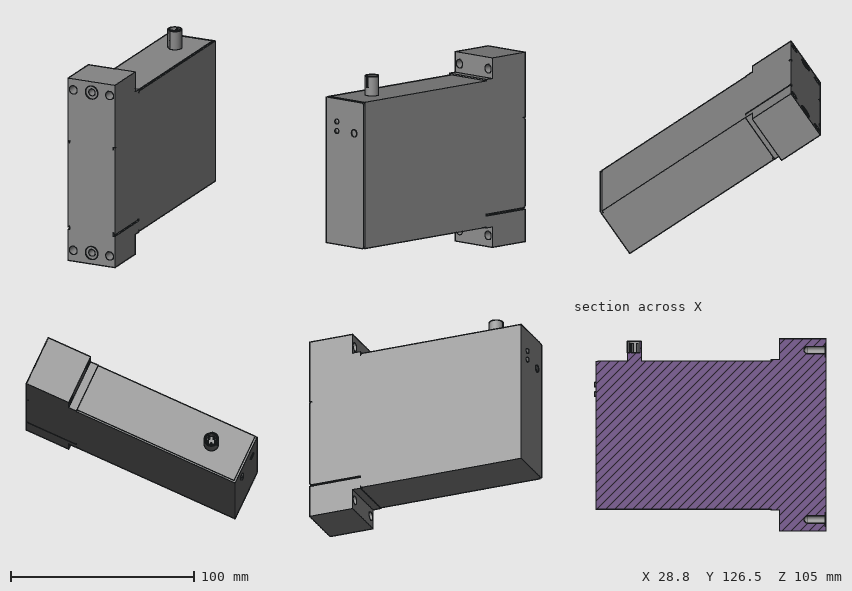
import cadquery as cq
import math


width = 28.5
flange_height = 105.0
flange_depth = 25.5
neck_height = 82.2
neck_back = 30.1

body_top = 40.3
body_bottom = -40.7

sheet = 1.0
plate_thickness = 1.1
cover_top = 40.0
plate_lip = 0.3
plate_corner_radius = 1.4
cover_corner_radius = 0.9

hole_z = 46.2
through_hole_x = 11.0
through_hole_diameter = 4.8
screw_hole_diameter = 3.9
screw_hole_depth = 10.1
counterbore_diameter = 7.5
counterbore_depth = 0.6

tab_top = 16.5
tab_bottom = -33.6
tab_gap = 0.9
tab_corner_radius = 1.3

connector_x = -0.3
connector_y = 104.6
connector_top = 51.1
connector_diameter = 8.0
connector_chamfer = 0.4
flat_distance = 3.5
flat_direction = 225.0
socket_diameter = 6.1
socket_depth = 6.3
key_width = 0.9
pin_count = 5
pin_circle_radius = 2.1
pin_diameter = 0.9
pin_height = 5.0
first_pin_angle = 94.0

overall_length = 126.5
lamp_height = 0.9
lamp_diameter = 2.8
lamp_round = 0.8
lamp_x = 6.0
lamp_levels = (27.3, 22.1)
button_diameter = 4.0
button_height = 0.4
button_x = -7.3
button_z = 22.5

half_width = width / 2
plate_back = overall_length - lamp_height
body_back = plate_back - plate_thickness


def box(x_range, y_range, z_range):
    """Box between the given pairs of limits."""
    limits = (x_range, y_range, z_range)
    lengths = [high - low for low, high in limits]
    corner = tuple(low for low, high in limits)
    return cq.Workplane("XY").box(*lengths, centered=False).translate(corner)


def cylinder_along_y(x, z, diameter, y_start, length):
    """Cylinder starting at y_start and running toward +Y."""
    axis = cq.Vector(0, 1, 0)
    return cq.Workplane(cq.Solid.makeCylinder(diameter / 2, length, cq.Vector(x, y_start, z), axis))


def front_block():
    full_width = (-half_width, half_width)
    flange = box(full_width, (0, flange_depth), (-flange_height / 2, flange_height / 2))
    neck = box(full_width, (0, neck_back), (-neck_height / 2, neck_height / 2))
    return flange.union(neck)


def housing():
    core = box((-half_width, half_width - sheet), (neck_back, body_back), (body_bottom, body_top))
    side_wall = box((half_width - sheet, half_width), (neck_back, plate_back), (body_bottom, cover_top))
    side_wall = side_wall.edges("|X and <Y").fillet(cover_corner_radius)
    plate = box((-half_width - plate_lip, half_width), (body_back, plate_back), (body_bottom, cover_top))
    plate = plate.edges("|Y and <X").fillet(plate_corner_radius)
    return core.union(side_wall).union(plate)


def screw_hole(z):
    """Counterbored blind hole with a hemispherical end."""
    hole = cylinder_along_y(0, z, screw_hole_diameter, 0, screw_hole_depth)
    round_end = cq.Workplane("XY").sphere(screw_hole_diameter / 2).translate((0, screw_hole_depth, z))
    counterbore = cylinder_along_y(0, z, counterbore_diameter, 0, counterbore_depth)
    return hole.union(round_end).union(counterbore)


def tab_corner(z, inward):
    """Sliver left by the rounded front corner of a tab; inward is the Z sign toward the tab middle."""
    r = tab_corner_radius
    middle = r * (1 - math.sqrt(0.5))
    return (
        cq.Workplane("YZ")
        .moveTo(0, z)
        .lineTo(r, z)
        .threePointArc((middle, z + inward * middle), (0, z + inward * r))
        .close()
        .extrude(sheet)
    )


def tab_cuts(x_start):
    """Gap below a side tab and its two rounded corners, cut from x_start over the sheet thickness."""
    gap = box((0, sheet), (0, neck_back), (tab_bottom - tab_gap, tab_bottom))
    cuts = gap.union(tab_corner(tab_top, -1)).union(tab_corner(tab_bottom, 1))
    return cuts.translate((x_start, 0, 0))


def connector():
    """Keyed shell with a flat on one side and a ring of pins in its socket."""
    shell_height = connector_top - body_top
    radius = connector_diameter / 2
    shell = cq.Workplane("XY").circle(radius).extrude(shell_height)
    shell = shell.faces(">Z").edges().chamfer(connector_chamfer)
    beyond_flat = (
        box((flat_distance, connector_diameter), (-radius, radius), (0, shell_height))
        .rotate((0, 0, 0), (0, 0, 1), flat_direction)
    )
    socket_floor = shell_height - socket_depth
    floor_plane = cq.Workplane("XY").workplane(offset=socket_floor)
    socket = floor_plane.circle(socket_diameter / 2).extrude(socket_depth)
    keyway = box((-key_width / 2, key_width / 2), (0, connector_diameter), (socket_floor, shell_height))
    pins = (
        floor_plane
        .polarArray(pin_circle_radius, first_pin_angle, 360, pin_count)
        .circle(pin_diameter / 2)
        .extrude(pin_height)
    )
    shell = shell.cut(beyond_flat).cut(socket).cut(keyway).union(pins)
    return shell.translate((connector_x, connector_y, body_top))


def lamp(z):
    return cylinder_along_y(lamp_x, z, lamp_diameter, plate_back, lamp_height).faces(">Y").edges().fillet(lamp_round)


result = front_block().union(housing())

for side in (-1, 1):
    result = result.cut(screw_hole(side * hole_z))
    for level in (-hole_z, hole_z):
        result = result.cut(cylinder_along_y(side * through_hole_x, level, through_hole_diameter, 0, flange_depth))

for wall_start in (-half_width, half_width - sheet):
    result = result.cut(tab_cuts(wall_start))

result = result.union(connector())
for level in lamp_levels:
    result = result.union(lamp(level))
result = result.union(cylinder_along_y(button_x, button_z, button_diameter, plate_back, button_height))